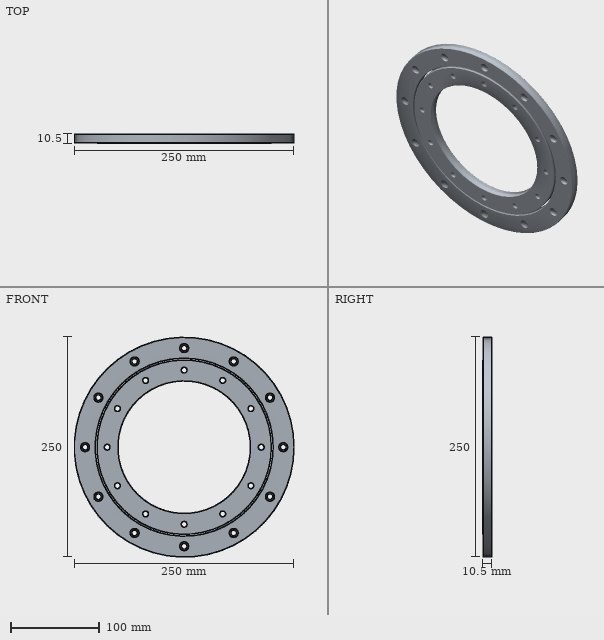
import cadquery as cq

outer_diameter = 250.0
bore_diameter = 150.0
outer_ring_inner_diameter = 201.6
inner_ring_outer_diameter = 198.4
total_thickness = 10.5
inner_ring_rise = 0.5
ring_thickness = total_thickness - inner_ring_rise
outer_ring_back_y = total_thickness / 2
inner_ring_back_y = outer_ring_back_y - inner_ring_rise
edge_chamfer = 0.5

hole_count = 12
hole_diameter = 6.0
hole_chamfer = 0.5
mouth_angle = 90.0
outer_hole_circle = 225.0
counterbore_diameter = 9.5
counterbore_depth = 5.5
inner_hole_circle = 175.0


def ring(outside, inside, back_y):
    """Flat ring with chamfered edges that extends from back_y toward -Y."""
    return (
        cq.Workplane("XZ", origin=(0, back_y, 0))
        .circle(outside / 2)
        .circle(inside / 2)
        .extrude(ring_thickness)
        .edges()
        .chamfer(edge_chamfer)
    )


def hole_centres(body, circle_diameter):
    """Evenly spaced points on a circle on the front face of a ring."""
    return (
        body.faces("<Y")
        .workplane(origin=(0, 0, 0))
        .polarArray(circle_diameter / 2, 0, 360, hole_count)
    )


def drill_chamfered(body, circle_diameter, mouth_diameter):
    """Drill through holes and bevel their front openings, which are mouth_diameter wide."""
    return hole_centres(body, circle_diameter).cskHole(
        hole_diameter, mouth_diameter + 2 * hole_chamfer, mouth_angle
    )


outer_ring = ring(outer_diameter, outer_ring_inner_diameter, outer_ring_back_y)
outer_ring = hole_centres(outer_ring, outer_hole_circle).cboreHole(
    hole_diameter, counterbore_diameter, counterbore_depth
)
outer_ring = drill_chamfered(outer_ring, outer_hole_circle, counterbore_diameter)

inner_ring = ring(inner_ring_outer_diameter, bore_diameter, inner_ring_back_y)
inner_ring = drill_chamfered(inner_ring, inner_hole_circle, hole_diameter)

result = cq.Compound.makeCompound([outer_ring.val(), inner_ring.val()])